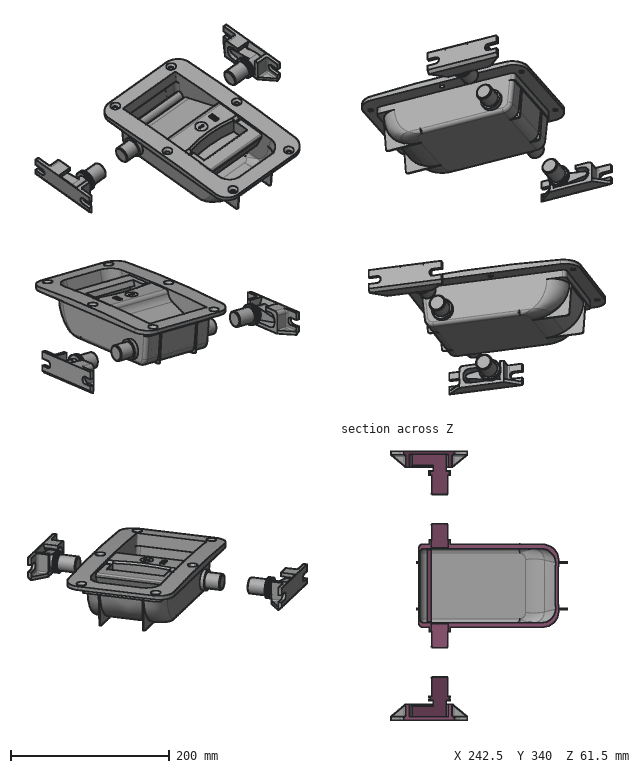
import cadquery as cq
import math

FLANGE_LENGTH = 230.0
FLANGE_WIDTH = 142.0
FLANGE_CORNER = 20.0
FLANGE_EDGE = 5.0
FLANGE_CROWN = 8.5

RIM_HALF_LENGTH = 96.5
RIM_HALF_WIDTH = 52.7
RIM_CORNER = 5.0
RIM_DEPTH = 10.0

TUB_BOTTOM = 53.0
TUB_RIGHT = 94.0
TUB_LEFT_DRAFT = 0.1
TUB_SCOOP_RUN = 49.0
TUB_LEFT_ROUND = 12.0
TUB_SIDE_ROUND = 5.0
TUB_CORNER_TOP = 23.0
TUB_CORNER_FLOOR = 11.0
SCOOP_START = 33.0
SEAM_CORNER = 0.5
SEAM_OVERLAP = 2.0
SCOOP_STEPS = 4
TUB_LEFT_STEP = 1.5

OPENING_LEFT = -94.8
OPENING_RIGHT = 95.8
OPENING_HALF_WIDTH = 46.6
OPENING_CORNER = 19.0
OPENING_LEFT_CORNER = 0.5
OPENING_LEFT_DRAFT = 1.8
END_WALL = 3.0
LEFT_WALL = 1.7
SIDE_WALL = RIM_HALF_WIDTH - OPENING_HALF_WIDTH
FLOOR_WALL = 3.0

RIB_Y = 29.2
RIB_THICKNESS = 1.6
RIB_FOOT_HALF_LENGTH = 93.5
RIB_FOOT_ROUND = 3.5

SCREW_END_X = 105.4
SCREW_END_Y = 49.7
SCREW_SIDE_Y = 61.8
SCREW_HOLE = 6.0
SCREW_SINK = 12.5
SINK_RISE = 0.5

PIN_X = -66.0
PIN_Z = -34.7
PIN_RADIUS = 10.5
PIN_TIP_Y = 78.3
PIN_ROOT_Y = 48.5
PIN_CHAMFER = 1.2
BOSS_RADIUS = 13.4
BOSS_END_Y = 58.0

HANDLE_HALF_WIDTH = 46.0
HANDLE_LEFT = -90.5
HANDLE_RIGHT = 61.0
HANDLE_TOP = 7.5
HANDLE_BOTTOM = -21.0
HANDLE_STEP_TOP = 5.2
HANDLE_NOSE_RADIUS = 2.2
HANDLE_EDGE = 5.0
UNDERSIDE_RIGHT = 52.0
UNDERSIDE_LEFT = -20.0
RAMP_UNDERSIDE = (-80.0, -36.0)

ROLL_BOTTOM = -32.0
ROLL_SHOULDER = 3.0
ROLL_CREST_X = -87.5
ROLL_CREST_Z = -23.0
ROLL_MIDDLE = (-82.0, -25.0)
ROLL_GROOVE = (-79.8, -31.0)
RAMP_ROLL_MIDDLE = (-77.0, -27.0)
RAMP_START = (-70.0, -23.5)
RAMP_END = (-26.0, -6.0)
STEP_HOLLOW = (-21.0, -2.0)
STEP_MIDDLE = (-18.5, 3.0)
STEP_CREST = (-16.5, 6.2)
COVER_LEFT = -12.9
STEP_GROOVE_LEFT = 20.6
STEP_GROOVE_RIGHT = 22.9
STEP_GROOVE_DEPTH = 0.8

GRIP_LEFT = 15.7
GRIP_RIGHT = 42.3
GRIP_HALF_WIDTH = 38.3
GRIP_BOW = 4.2
GRIP_BEVEL = 2.6
GRIP_FLOOR = -15.0
GRIP_LIP = -1.8
GRIP_UNDERCUT = 6.0
GRIP_SLOPE = 3.6
LABEL_CENTRE = (-1.2, 22.4)
LABEL_SIZE = (12.0, 6.0)
LABEL_PLATE = (9.0, 3.0)
LABEL_DEPTH = 0.5

LOCK_X = -1.2
LOCK_RADIUS = 8.0
KEY_SLOT = (2.2, 7.0)
KEY_DEPTH = 3.0

BRACKET_LEFT = -127.5
BRACKET_LENGTH = 96.5
BRACKET_TOP = -20.3
BRACKET_BOTTOM = -50.0
BRACKET_BACK_Y = 170.0
BRACKET_PLATE = 4.7
BRACKET_CHAMFER = 4.0
BRACKET_SLOT_WIDTH = 9.6
BRACKET_SLOT_DEPTH = 16.0
BOX_LEFT = -109.0
BOX_RIGHT = -50.2
BOX_FRONT_Y = 149.5
BOX_WALL = 5.0
BOX_ROUND = 5.0
PLATE_ROUND = 1.0
POCKET_ROUND = 9.0
ENTRY_LEFT = -86.0
GUSSET_THICKNESS = 4.6
INNER_ROUND = 2.0
ENTRY_BEVEL_DEPTH = 10.0
ENTRY_BEVEL_REACH = 3.8

ROD_TIP_Y = 115.0
COLLAR_FRONT_Y = 139.3
COLLAR_BACK_Y = 145.0
COLLAR_RADIUS = 13.5
COLLAR_RIM = 1.7
COLLAR_GROOVE = 1.0
NECK_RADIUS = 8.6
PAWL_FRONT_Y = 151.5
PAWL_TIP_X = -101.0
PAWL_TIP_RADIUS = 3.5


def block(x_range, y_range, z_range):
    """Box between two limits along each axis."""
    size = [high - low for low, high in (x_range, y_range, z_range)]
    return cq.Workplane("XY").box(*size, centered=False).translate((x_range[0], y_range[0], z_range[0]))


def rounded_outline(z, left, right, half_width, left_corner, right_corner):
    """Closed wire at height z: a rectangle with its own corner radius at each end."""
    left_cut = left_corner * (1 - math.sqrt(0.5))
    right_cut = right_corner * (1 - math.sqrt(0.5))
    return (
        cq.Workplane("XY", origin=(0, 0, z))
        .moveTo(left + left_corner, -half_width)
        .lineTo(right - right_corner, -half_width)
        .threePointArc((right - right_cut, -half_width + right_cut), (right, -half_width + right_corner))
        .lineTo(right, half_width - right_corner)
        .threePointArc((right - right_cut, half_width - right_cut), (right - right_corner, half_width))
        .lineTo(left + left_corner, half_width)
        .threePointArc((left + left_cut, half_width - left_cut), (left, half_width - left_corner))
        .lineTo(left, -half_width + left_corner)
        .threePointArc((left + left_cut, -half_width + left_cut), (left + left_corner, -half_width))
        .close()
    )


def side_inset(depth, total_depth):
    """How far a side wall has moved in at this depth where it rounds into the floor."""
    into_round = max(0.0, depth - (total_depth - TUB_SIDE_ROUND))
    return TUB_SIDE_ROUND - math.sqrt(max(0.0, TUB_SIDE_ROUND ** 2 - into_round ** 2))


def scoop_outline(turn, total_depth, end_wall, side_wall):
    """Horizontal section of the scooped right end at one turn of its quarter ellipse."""
    depth = RIM_DEPTH + (total_depth - RIM_DEPTH) * math.sin(turn)
    right = TUB_RIGHT - end_wall - TUB_SCOOP_RUN * (1 - math.cos(turn))
    half_width = RIM_HALF_WIDTH - side_wall - side_inset(depth, total_depth)
    corner = TUB_CORNER_FLOOR + (TUB_CORNER_TOP - TUB_CORNER_FLOOR) * math.cos(turn) - end_wall
    return rounded_outline(-depth, SCOOP_START, right, half_width, SEAM_CORNER, corner).val()


def scoop(total_depth, end_wall, side_wall):
    """Right end of the tub: upright sides first, then the part where the sides round under."""
    rise = total_depth - RIM_DEPTH
    side_end = math.asin((rise - TUB_SIDE_ROUND) / rise)
    spans = ((0, side_end), (side_end, math.pi / 2))
    layers = []
    for start, end in spans:
        turns = [start + (end - start) * step / SCOOP_STEPS for step in range(SCOOP_STEPS + 1)]
        wires = [scoop_outline(turn, total_depth, end_wall, side_wall) for turn in turns]
        layers.append(cq.Workplane("XY").newObject([cq.Solid.makeLoft(wires, False)]))
    return layers[0].union(layers[1])


def tub(total_depth, end_wall, left_wall, side_wall):
    """Tub below the rim; the wall values shrink it from the outer shape to the cavity."""
    half_width = RIM_HALF_WIDTH - side_wall
    left = -RIM_HALF_LENGTH + TUB_LEFT_STEP + left_wall
    lean = TUB_LEFT_DRAFT * (total_depth - RIM_DEPTH)
    trough = (
        cq.Workplane("XZ", origin=(0, half_width, 0))
        .moveTo(SCOOP_START + SEAM_OVERLAP, -RIM_DEPTH)
        .lineTo(left, -RIM_DEPTH)
        .lineTo(left + lean, -total_depth)
        .lineTo(SCOOP_START + SEAM_OVERLAP, -total_depth)
        .close()
        .extrude(2 * half_width)
    )
    trough = trough.edges("|Y").edges("<Z").edges("<X").fillet(TUB_LEFT_ROUND)
    for side in ("<Y", ">Y"):
        trough = trough.faces(side).edges("not(>Z or >X)").fillet(TUB_SIDE_ROUND)
    return trough.union(scoop(total_depth, end_wall, side_wall))


def crowned_flange():
    half_length = FLANGE_LENGTH / 2
    profile = (
        cq.Workplane("XZ", origin=(0, FLANGE_WIDTH / 2, 0))
        .moveTo(-half_length, 0)
        .lineTo(half_length, 0)
        .lineTo(half_length, FLANGE_EDGE)
        .threePointArc((0, FLANGE_CROWN), (-half_length, FLANGE_EDGE))
        .close()
    )
    return profile.extrude(FLANGE_WIDTH).edges("|Z").fillet(FLANGE_CORNER)


def crown_height(x):
    """Height of the crowned flange top at x, taken as a shallow parabola."""
    return FLANGE_CROWN - (FLANGE_CROWN - FLANGE_EDGE) * (2 * x / FLANGE_LENGTH) ** 2


def end_rib(y):
    """Thin full-length web that squares off both rounded ends of the tub."""
    return (
        cq.Workplane("XZ", origin=(0, y + RIB_THICKNESS / 2, 0))
        .moveTo(-RIM_HALF_LENGTH, -RIM_DEPTH)
        .lineTo(-RIB_FOOT_HALF_LENGTH, -TUB_BOTTOM)
        .lineTo(RIB_FOOT_HALF_LENGTH, -TUB_BOTTOM)
        .lineTo(RIM_HALF_LENGTH, -RIM_DEPTH)
        .close()
        .extrude(RIB_THICKNESS)
        .edges("|Y and <Z")
        .fillet(RIB_FOOT_ROUND)
    )


def y_cylinder(radius, y_start, y_end):
    """Cylinder on the pin axis between two Y positions."""
    return (
        cq.Workplane("XZ", origin=(PIN_X, y_start, PIN_Z))
        .circle(radius)
        .extrude(y_start - y_end)
    )


def screw_sink(x, y):
    """Countersunk screw hole through the flange."""
    top = crown_height(x)
    sink_radius = SCREW_SINK / 2 + SINK_RISE
    sink_depth = sink_radius - SCREW_HOLE / 2
    sink_base = cq.Vector(x, y, top + SINK_RISE - sink_depth)
    hole = cq.Workplane("XY", origin=(x, y, 0)).circle(SCREW_HOLE / 2).extrude(FLANGE_CROWN)
    sink = cq.Solid.makeCone(SCREW_HOLE / 2, sink_radius, sink_depth, sink_base)
    return hole.union(cq.Workplane("XY").newObject([sink]))


def drafted_opening():
    """Opening through flange and rim; its ends lean in to meet the tub cavity."""
    right_draft = OPENING_RIGHT - (TUB_RIGHT - END_WALL)
    top = rounded_outline(
        FLANGE_CROWN, OPENING_LEFT, OPENING_RIGHT, OPENING_HALF_WIDTH, OPENING_LEFT_CORNER, OPENING_CORNER
    )
    bottom = rounded_outline(
        -RIM_DEPTH, OPENING_LEFT + OPENING_LEFT_DRAFT, OPENING_RIGHT - right_draft, OPENING_HALF_WIDTH,
        OPENING_LEFT_CORNER, OPENING_CORNER,
    )
    return cq.Workplane("XY").newObject([cq.Solid.makeLoft([bottom.val(), top.val()], True)])


def make_housing():
    rim = rounded_outline(
        -RIM_DEPTH, -RIM_HALF_LENGTH, RIM_HALF_LENGTH, RIM_HALF_WIDTH, RIM_CORNER, RIM_CORNER
    ).extrude(RIM_DEPTH)
    body = tub(TUB_BOTTOM, 0, 0, 0).union(rim).union(crowned_flange())
    for y in (-RIB_Y, RIB_Y):
        body = body.union(end_rib(y))
    for side in (-1, 1):
        body = body.union(y_cylinder(BOSS_RADIUS, side * PIN_ROOT_Y, side * BOSS_END_Y))

    cavity = tub(TUB_BOTTOM - FLOOR_WALL, END_WALL, LEFT_WALL, SIDE_WALL)
    body = body.cut(drafted_opening()).cut(cavity)
    for side in (-1, 1):
        body = body.cut(y_cylinder(PIN_RADIUS, side * PIN_ROOT_Y, side * BOSS_END_Y))
        body = body.cut(screw_sink(0, side * SCREW_SIDE_Y))
        for end in (-1, 1):
            body = body.cut(screw_sink(end * SCREW_END_X, side * SCREW_END_Y))
    return body


def make_latch_pin(side):
    pin = y_cylinder(PIN_RADIUS, side * PIN_ROOT_Y, side * PIN_TIP_Y)
    return pin.faces(">Y" if side > 0 else "<Y").chamfer(PIN_CHAMFER)


def handle_blank():
    """Side profile: end roll, groove, rising ramp, step up to the cover, then the lower grip half."""
    groove_floor = HANDLE_STEP_TOP - STEP_GROOVE_DEPTH
    blank = (
        cq.Workplane("XZ", origin=(0, HANDLE_HALF_WIDTH, 0))
        .moveTo(HANDLE_LEFT, ROLL_BOTTOM)
        .lineTo(HANDLE_LEFT, ROLL_CREST_Z - ROLL_SHOULDER)
        .lineTo(ROLL_CREST_X, ROLL_CREST_Z)
        .threePointArc(ROLL_MIDDLE, ROLL_GROOVE)
        .threePointArc(RAMP_ROLL_MIDDLE, RAMP_START)
        .lineTo(*RAMP_END)
        .threePointArc(STEP_HOLLOW, STEP_MIDDLE)
        .threePointArc(STEP_CREST, (COVER_LEFT, HANDLE_TOP))
        .lineTo(GRIP_LEFT, HANDLE_TOP)
        .lineTo(STEP_GROOVE_LEFT, groove_floor)
        .lineTo(STEP_GROOVE_RIGHT, groove_floor)
        .lineTo(STEP_GROOVE_RIGHT, HANDLE_STEP_TOP)
        .lineTo(HANDLE_RIGHT - HANDLE_NOSE_RADIUS, HANDLE_STEP_TOP)
        .radiusArc((HANDLE_RIGHT, HANDLE_STEP_TOP - HANDLE_NOSE_RADIUS), HANDLE_NOSE_RADIUS)
        .lineTo(HANDLE_RIGHT, HANDLE_STEP_TOP - HANDLE_EDGE)
        .lineTo(UNDERSIDE_RIGHT, HANDLE_BOTTOM)
        .lineTo(UNDERSIDE_LEFT, HANDLE_BOTTOM)
        .lineTo(*RAMP_UNDERSIDE)
        .close()
        .extrude(2 * HANDLE_HALF_WIDTH)
    )
    return blank.edges("|Z and <X").fillet(RIM_CORNER)


def grip_outline(z, left):
    """Finger pocket section at height z; its left side bows outward."""
    return (
        cq.Workplane("XY", origin=(0, 0, z))
        .moveTo(left, -GRIP_HALF_WIDTH)
        .lineTo(GRIP_RIGHT, -GRIP_HALF_WIDTH)
        .lineTo(GRIP_RIGHT, GRIP_HALF_WIDTH)
        .lineTo(left, GRIP_HALF_WIDTH)
        .threePointArc((left - GRIP_BOW, 0), (left, -GRIP_HALF_WIDTH))
        .close()
    )


def make_handle():
    plate = handle_blank()
    bevel_bottom = HANDLE_TOP - GRIP_BEVEL
    well_left = GRIP_LEFT + GRIP_BEVEL
    grip = grip_outline(GRIP_FLOOR, well_left).extrude(bevel_bottom - GRIP_FLOOR)
    bevel_wires = [grip_outline(bevel_bottom, well_left).val(), grip_outline(HANDLE_TOP, GRIP_LEFT).val()]
    grip = grip.union(cq.Workplane("XY").newObject([cq.Solid.makeLoft(bevel_wires, True)]))
    lip = (
        cq.Workplane("XZ", origin=(0, GRIP_HALF_WIDTH, 0))
        .moveTo(GRIP_RIGHT - GRIP_SLOPE, GRIP_LIP)
        .lineTo(GRIP_RIGHT, GRIP_LIP)
        .lineTo(GRIP_RIGHT, HANDLE_STEP_TOP)
        .close()
        .extrude(2 * GRIP_HALF_WIDTH)
    )
    undercut = block(
        (GRIP_RIGHT - GRIP_SLOPE, GRIP_RIGHT + GRIP_UNDERCUT),
        (-GRIP_HALF_WIDTH, GRIP_HALF_WIDTH),
        (GRIP_FLOOR, GRIP_LIP),
    )
    label_base = cq.Workplane("XY", origin=(*LABEL_CENTRE, HANDLE_TOP - LABEL_DEPTH))
    label = label_base.rect(*LABEL_SIZE).rect(*LABEL_PLATE).extrude(LABEL_DEPTH)
    return plate.cut(grip.cut(lip)).cut(undercut).cut(label).cut(lock_cylinder())


def lock_cylinder():
    return (
        cq.Workplane("XY", origin=(LOCK_X, 0, HANDLE_BOTTOM))
        .circle(LOCK_RADIUS)
        .extrude(HANDLE_TOP - HANDLE_BOTTOM)
    )


def make_lock():
    return lock_cylinder().faces(">Z").workplane().rect(*KEY_SLOT).cutBlind(-KEY_DEPTH)


def make_bracket():
    right = BRACKET_LEFT + BRACKET_LENGTH
    plate_front = BRACKET_BACK_Y - BRACKET_PLATE
    height = (BRACKET_BOTTOM, BRACKET_TOP)
    plate = block((BRACKET_LEFT, right), (plate_front, BRACKET_BACK_Y), height)
    plate = plate.edges("|Y").fillet(PLATE_ROUND)
    box = block((BOX_LEFT, BOX_RIGHT), (BOX_FRONT_Y, BRACKET_BACK_Y), height)
    box = box.edges("|Y and >Z and <X").fillet(BOX_ROUND)
    gusset = (
        cq.Workplane("XY", origin=(0, 0, BRACKET_BOTTOM))
        .moveTo(BRACKET_LEFT, plate_front)
        .lineTo(BOX_LEFT, BOX_FRONT_Y)
        .lineTo(BOX_RIGHT, BOX_FRONT_Y)
        .lineTo(right, plate_front)
        .close()
        .extrude(GUSSET_THICKNESS)
    )
    bracket = plate.union(box).union(gusset)
    gusset_top = BRACKET_BOTTOM + GUSSET_THICKNESS
    gusset_y = (BOX_FRONT_Y + plate_front) / 2
    for wall_x, plate_end in ((BOX_LEFT, BRACKET_LEFT), (BOX_RIGHT, right)):
        corner_edges = [
            (wall_x, plate_front, PIN_Z),
            (wall_x, gusset_y, gusset_top),
            ((wall_x + plate_end) / 2, plate_front, gusset_top),
        ]
        picked = bracket.newObject([
            bracket.edges(cq.selectors.NearestToPointSelector(point)).val() for point in corner_edges
        ])
        bracket = picked.fillet(INNER_ROUND)
    chamfer = (
        cq.Workplane("YZ", origin=(BRACKET_LEFT, 0, 0))
        .moveTo(BRACKET_BACK_Y, BRACKET_BOTTOM)
        .lineTo(BRACKET_BACK_Y, BRACKET_BOTTOM + BRACKET_CHAMFER)
        .lineTo(BRACKET_BACK_Y - BRACKET_CHAMFER, BRACKET_BOTTOM)
        .close()
        .extrude(BRACKET_LENGTH)
    )
    bracket = bracket.cut(chamfer)
    for end_x in (BRACKET_LEFT, right):
        slot = (
            cq.Workplane("XZ", origin=(end_x, BRACKET_BACK_Y, PIN_Z))
            .slot2D(2 * BRACKET_SLOT_DEPTH, BRACKET_SLOT_WIDTH)
            .extrude(BRACKET_PLATE)
        )
        bracket = bracket.cut(slot)
    pocket_height = (BRACKET_BOTTOM + BOX_WALL, BRACKET_TOP - BOX_WALL)
    pocket_depth = (BOX_FRONT_Y, plate_front)
    pocket = block((BOX_LEFT + BOX_WALL, BOX_RIGHT - BOX_WALL), pocket_depth, pocket_height)
    pocket = pocket.edges("|Y and <X").fillet(POCKET_ROUND)
    entry = block((ENTRY_LEFT, BOX_RIGHT - BOX_WALL), pocket_depth, (PIN_Z, BRACKET_TOP))
    bevel = (
        cq.Workplane("YZ", origin=(ENTRY_LEFT, 0, 0))
        .moveTo(plate_front, BRACKET_TOP)
        .lineTo(plate_front + ENTRY_BEVEL_REACH, BRACKET_TOP)
        .lineTo(plate_front, BRACKET_TOP - ENTRY_BEVEL_DEPTH)
        .close()
        .extrude(BOX_RIGHT - BOX_WALL - ENTRY_LEFT)
    )
    return bracket.cut(pocket).cut(entry).cut(bevel)


def make_striker_rod():
    rod = y_cylinder(PIN_RADIUS, ROD_TIP_Y, COLLAR_BACK_Y).faces("<Y").chamfer(PIN_CHAMFER)
    collar = y_cylinder(COLLAR_RADIUS - COLLAR_GROOVE, COLLAR_FRONT_Y, COLLAR_BACK_Y)
    for y in (COLLAR_FRONT_Y, COLLAR_BACK_Y - COLLAR_RIM):
        collar = collar.union(y_cylinder(COLLAR_RADIUS, y, y + COLLAR_RIM))
    plate_front = BRACKET_BACK_Y - BRACKET_PLATE
    neck = y_cylinder(NECK_RADIUS, COLLAR_BACK_Y, plate_front)

    reach = PIN_X - PAWL_TIP_X - PAWL_TIP_RADIUS
    lean = math.asin((NECK_RADIUS - PAWL_TIP_RADIUS) / reach)
    pawl = (
        cq.Workplane("XZ", origin=(PIN_X, plate_front, PIN_Z))
        .moveTo(-NECK_RADIUS * math.sin(lean), NECK_RADIUS * math.cos(lean))
        .lineTo(-reach - PAWL_TIP_RADIUS * math.sin(lean), PAWL_TIP_RADIUS * math.cos(lean))
        .threePointArc(
            (-reach - PAWL_TIP_RADIUS, 0),
            (-reach - PAWL_TIP_RADIUS * math.sin(lean), -PAWL_TIP_RADIUS * math.cos(lean)),
        )
        .lineTo(-NECK_RADIUS * math.sin(lean), -NECK_RADIUS * math.cos(lean))
        .close()
        .extrude(plate_front - PAWL_FRONT_Y)
    )
    return rod.union(collar).union(neck).union(pawl)


housing = make_housing()
handle = make_handle()
lock = make_lock()
bodies = [housing.val(), handle.val(), lock.val()]
for side in (-1, 1):
    bodies.append(make_latch_pin(side).val())
for striker_part in (make_bracket(), make_striker_rod()):
    bodies.append(striker_part.val())
    bodies.append(striker_part.mirror("XZ").val())

result = cq.Compound.makeCompound(bodies)